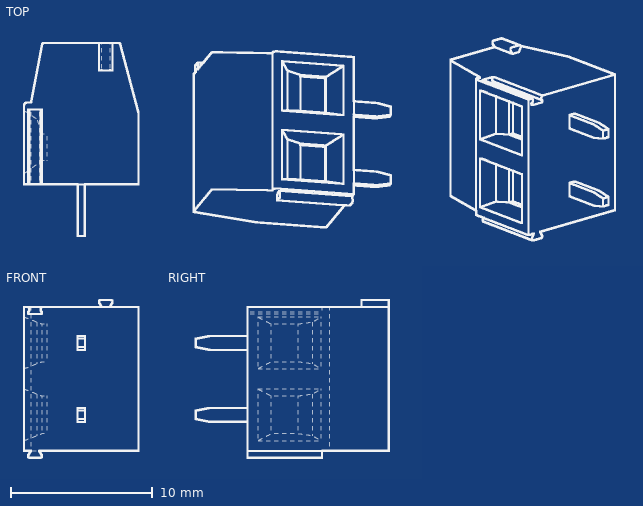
import cadquery as cq

POLES = 2
PITCH = 5.08
BODY_WIDTH = 8.1
BODY_HEIGHT = POLES * PITCH
BODY_LENGTH = 10.0
EPS = 0.01

LEDGE_Y = 5.8
LEDGE_DEPTH = 0.5
LEDGE_RADIUS = 0.25
CROWN_LEFT_X = 1.3
CROWN_RIGHT_X = 6.78
CROWN_RADIUS = 0.15
SHOULDER_Y = 5.05

TONGUE_HEIGHT = 0.5
TONGUE_ROOT_HALF = 0.30
TONGUE_TIP_HALF = 0.60
TONGUE_RADIUS = 0.14
LOWER_TONGUE_X = 0.785
LOWER_TONGUE_LENGTH = 5.28
UPPER_TONGUE_X = 5.78
UPPER_TONGUE_LENGTH = 1.94

GROOVE_LENGTH = LOWER_TONGUE_LENGTH
GROOVE_DEPTH = 0.5
GROOVE_HALF = 0.51
GROOVE_THROAT_HALF = 0.39
GROOVE_THROAT_DEPTH = 0.16
GROOVE_BELLY_DEPTH = 0.36
GROOVE_RADIUS = 0.1

ENTRY_Y_MIN = 0.74
ENTRY_Y_MAX = 5.22
ENTRY_HEIGHT = 3.66
FUNNEL_DEPTH = 1.28
FLOOR_Y_MIN = 1.69
FLOOR_Y_MAX = 3.57
FLOOR_HEIGHT = 2.66
CORNER_DEPTH = 0.93
CORNER_Y = 4.6
WELL_DEPTH = 1.63

PIN_X = BODY_WIDTH / 2
PIN_THICKNESS = 0.5
PIN_WIDTH = 1.0
PIN_LENGTH = 3.65
PIN_TIP_LENGTH = 1.0
PIN_TIP_WIDTH = 0.6


def make_housing():
    outline = (
        cq.Workplane("XY")
        .moveTo(0, 0)
        .lineTo(BODY_WIDTH, 0)
        .lineTo(BODY_WIDTH, SHOULDER_Y)
        .lineTo(CROWN_RIGHT_X, BODY_LENGTH)
        .lineTo(CROWN_LEFT_X, BODY_LENGTH)
        .lineTo(LEDGE_DEPTH, LEDGE_Y)
        .lineTo(0, LEDGE_Y)
        .close()
    )
    housing = outline.extrude(BODY_HEIGHT)
    housing = housing.edges("|Z and >Y").fillet(CROWN_RADIUS)
    ledge_edge = cq.selectors.NearestToPointSelector((0, LEDGE_Y, BODY_HEIGHT / 2))
    return housing.edges(ledge_edge).fillet(LEDGE_RADIUS)


def make_tongue(x, y_start, length, z_root, direction):
    """Dovetail tongue along +Y, rising from z_root up (+1) or down (-1)."""
    z_tip = z_root + direction * TONGUE_HEIGHT
    tongue = (
        cq.Workplane("XZ", origin=(x, y_start, 0))
        .moveTo(-TONGUE_ROOT_HALF, z_root)
        .lineTo(TONGUE_ROOT_HALF, z_root)
        .lineTo(TONGUE_TIP_HALF, z_tip)
        .lineTo(-TONGUE_TIP_HALF, z_tip)
        .close()
        .extrude(-length)
    )
    tip_face = ">Z" if direction > 0 else "<Z"
    return tongue.faces(tip_face).edges("|Y").fillet(TONGUE_RADIUS)


def make_groove():
    """Groove above the lower tongue, with rounded lips, open at the top and at the pin side."""
    floor_half = GROOVE_HALF - GROOVE_RADIUS
    wall_end_depth = GROOVE_DEPTH - GROOVE_RADIUS
    return (
        cq.Workplane("XZ", origin=(LOWER_TONGUE_X, 0, BODY_HEIGHT))
        .moveTo(GROOVE_HALF, 0)
        .threePointArc(
            (GROOVE_THROAT_HALF, -GROOVE_THROAT_DEPTH), (GROOVE_HALF, -GROOVE_BELLY_DEPTH)
        )
        .lineTo(GROOVE_HALF, -wall_end_depth)
        .radiusArc((floor_half, -GROOVE_DEPTH), GROOVE_RADIUS)
        .lineTo(-floor_half, -GROOVE_DEPTH)
        .radiusArc((-GROOVE_HALF, -wall_end_depth), GROOVE_RADIUS)
        .lineTo(-GROOVE_HALF, -GROOVE_BELLY_DEPTH)
        .threePointArc((-GROOVE_THROAT_HALF, -GROOVE_THROAT_DEPTH), (-GROOVE_HALF, 0))
        .close()
        .extrude(-GROOVE_LENGTH)
    )


def make_wire_entry(z_center):
    """Funnel with one oblique corner face, ending in a straight rectangular well."""
    wall_slope = (ENTRY_Y_MAX - CORNER_Y) / CORNER_DEPTH
    funnel_y_max = ENTRY_Y_MAX - wall_slope * FUNNEL_DEPTH
    entry_center_y = (ENTRY_Y_MIN + ENTRY_Y_MAX) / 2
    funnel_end_center_y = (FLOOR_Y_MIN + funnel_y_max) / 2
    funnel = (
        cq.Workplane("YZ", origin=(0, entry_center_y, z_center))
        .rect(ENTRY_Y_MAX - ENTRY_Y_MIN, ENTRY_HEIGHT)
        .workplane(offset=FUNNEL_DEPTH)
        .center(funnel_end_center_y - entry_center_y, 0)
        .rect(funnel_y_max - FLOOR_Y_MIN, FLOOR_HEIGHT)
        .loft(ruled=True)
    )
    plan = (
        cq.Workplane("XY", origin=(0, 0, z_center))
        .polyline(
            [
                (0, ENTRY_Y_MIN),
                (0, ENTRY_Y_MAX),
                (CORNER_DEPTH, CORNER_Y),
                (FUNNEL_DEPTH, FLOOR_Y_MAX),
                (FUNNEL_DEPTH, FLOOR_Y_MIN),
            ]
        )
        .close()
        .extrude(ENTRY_HEIGHT / 2, both=True)
    )
    well_start = FUNNEL_DEPTH - EPS
    well = (
        cq.Workplane("YZ", origin=(well_start, (FLOOR_Y_MIN + FLOOR_Y_MAX) / 2, z_center))
        .rect(FLOOR_Y_MAX - FLOOR_Y_MIN, FLOOR_HEIGHT)
        .extrude(WELL_DEPTH - well_start)
    )
    return funnel.intersect(plan).union(well)


def make_pin(z_center):
    """Flat pin along -Y with its width in Z, tapered at the tip."""
    half_width = PIN_WIDTH / 2
    half_tip = PIN_TIP_WIDTH / 2
    taper_y = PIN_TIP_LENGTH - PIN_LENGTH
    return (
        cq.Workplane("YZ", origin=(PIN_X, 0, z_center))
        .moveTo(EPS, half_width)
        .lineTo(taper_y, half_width)
        .lineTo(-PIN_LENGTH, half_tip)
        .lineTo(-PIN_LENGTH, -half_tip)
        .lineTo(taper_y, -half_width)
        .lineTo(EPS, -half_width)
        .close()
        .extrude(PIN_THICKNESS / 2, both=True)
    )


result = make_housing().cut(make_groove())
result = result.union(make_tongue(LOWER_TONGUE_X, 0, LOWER_TONGUE_LENGTH, 0, -1))
upper_tongue_start = BODY_LENGTH - UPPER_TONGUE_LENGTH
result = result.union(
    make_tongue(UPPER_TONGUE_X, upper_tongue_start, UPPER_TONGUE_LENGTH, BODY_HEIGHT, 1)
)
for pole in range(POLES):
    pole_z = (pole + 0.5) * PITCH
    result = result.cut(make_wire_entry(pole_z))
    result = result.union(make_pin(pole_z))